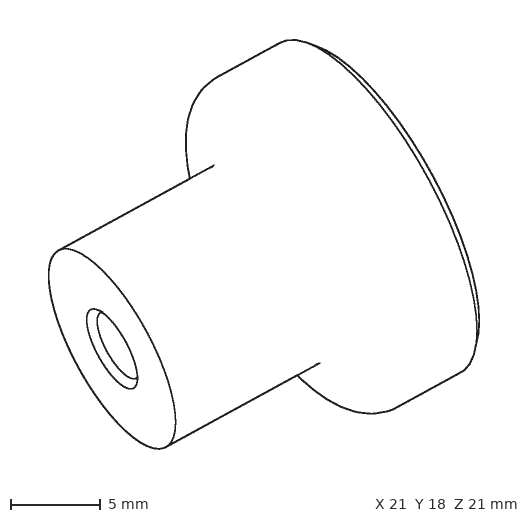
import cadquery as cq
import math

head_radius = 10.5
total_length = 18.0
shank_radius = 6.25

back_chamfer = 0.5
rim_length = 4.75
edge_radius = 2.0
cone_angle = math.radians(13)
neck_fillet = 0.25

hole_radius = 2.08
hole_mouth_radius = 2.5
hole_depth = 10.0
drill_half_angle = math.radians(59)


def arc_point(center, radius, angle):
    """Point on a circle at an angle from +X towards -Y."""
    return (
        center[0] + radius * math.cos(angle),
        center[1] - radius * math.sin(angle),
    )


def make_body():
    edge_center = (head_radius - edge_radius, total_length - rim_length)
    sweep = math.pi / 2 - cone_angle
    edge_middle = arc_point(edge_center, edge_radius, sweep / 2)
    edge_end = arc_point(edge_center, edge_radius, sweep)

    cone_slope = math.tan(cone_angle)
    corner_y = edge_end[1] - (edge_end[0] - shank_radius) * cone_slope
    tangent_length = neck_fillet * math.tan(sweep / 2)
    neck_center = (shank_radius + neck_fillet, corner_y - tangent_length)
    neck_start = arc_point(neck_center, neck_fillet, math.pi + sweep)
    neck_middle = arc_point(neck_center, neck_fillet, math.pi + sweep / 2)
    neck_end = (shank_radius, neck_center[1])

    profile = (
        cq.Workplane("XY")
        .moveTo(0, total_length)
        .lineTo(head_radius - back_chamfer, total_length)
        .lineTo(head_radius, total_length - back_chamfer)
        .lineTo(head_radius, edge_center[1])
        .threePointArc(edge_middle, edge_end)
        .lineTo(*neck_start)
        .threePointArc(neck_middle, neck_end)
        .lineTo(shank_radius, 0)
        .lineTo(0, 0)
        .close()
    )
    return profile.revolve(360, (0, 0, 0), (0, 1, 0))


def make_hole():
    mouth_chamfer = hole_mouth_radius - hole_radius
    tip_length = hole_radius / math.tan(drill_half_angle)
    profile = (
        cq.Workplane("XY")
        .moveTo(0, 0)
        .lineTo(hole_mouth_radius, 0)
        .lineTo(hole_radius, mouth_chamfer)
        .lineTo(hole_radius, hole_depth)
        .lineTo(0, hole_depth + tip_length)
        .close()
    )
    return profile.revolve(360, (0, 0, 0), (0, 1, 0))


result = make_body().cut(make_hole())